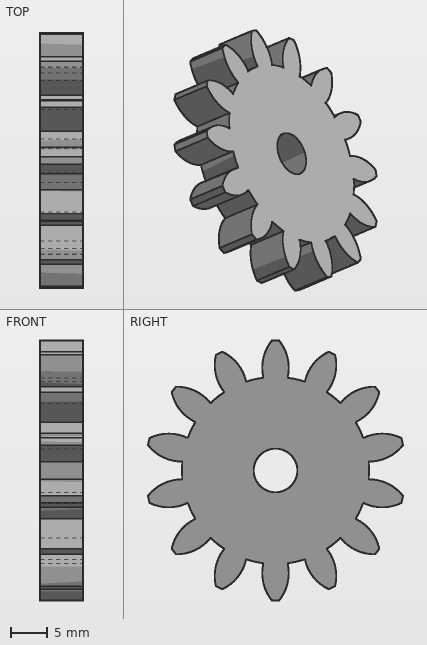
import cadquery as cq
import math

tooth_count = 14
outer_diameter = 36.0
root_diameter = 25.92
bore_diameter = 6.0
face_width = 6.0

tip_half_width = 0.5
flank_half_width = 1.5
root_half_width = 1.7
flank_height = 16.2

outer_radius = outer_diameter / 2
root_radius = root_diameter / 2


def height_on_circle(radius, half_width):
    """Height above the axis of a point on a circle, half_width off centre."""
    return math.sqrt(radius**2 - half_width**2)


def make_tooth():
    """Upright tooth with bulging arc flanks, its foot sunk into the body."""
    tip_height = height_on_circle(outer_radius, tip_half_width)
    root_height = height_on_circle(root_radius, root_half_width)
    foot_height = root_radius / 2
    return (
        cq.Workplane("YZ")
        .moveTo(-root_half_width, foot_height)
        .lineTo(-root_half_width, root_height)
        .threePointArc((-flank_half_width, flank_height), (-tip_half_width, tip_height))
        .threePointArc((0, outer_radius), (tip_half_width, tip_height))
        .threePointArc((flank_half_width, flank_height), (root_half_width, root_height))
        .lineTo(root_half_width, foot_height)
        .close()
        .extrude(face_width)
    )


result = cq.Workplane("YZ").circle(root_radius).extrude(face_width)

tooth = make_tooth()
for index in range(tooth_count):
    angle = index * 360 / tooth_count
    result = result.union(tooth.rotate((0, 0, 0), (1, 0, 0), angle))

bore = cq.Workplane("YZ").circle(bore_diameter / 2).extrude(face_width)
result = result.cut(bore)